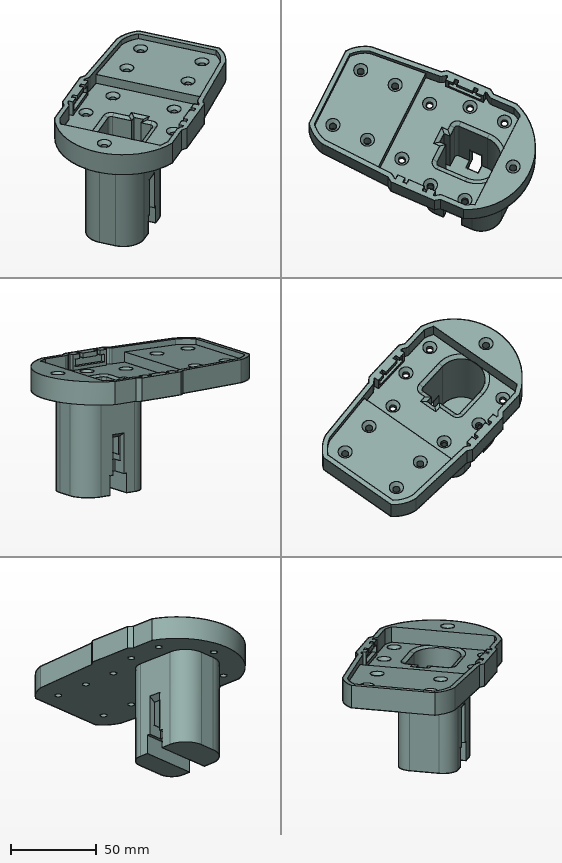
import cadquery as cq
import math


LENGTH = 130.0
PLATE_THICKNESS = 13.9
REAR_EDGE_HALF = 25.4
SHOULDER_HALF = 34.0
SHOULDER_Y = 117.6
BODY_HALF = 36.9
WING_HALF = 39.0
WING_RAMP = 2.9
WING_FRONT_Y = 42.9
WING_REAR_Y = 71.0
FRONT_ARC_Y = 25.0
REAR_ARC_BULGE = 0.9

WALL = 3.0
LOW_FLOOR_Z = 4.4
HIGH_FLOOR_Z = 10.5
FLOOR_STEP_Y = 82.2
FRONT_BLOCK_Y = 20.3

COLUMN_HEIGHT = 59.5
COLUMN_HALF = 18.0
COLUMN_FRONT_Y = 15.5
COLUMN_REAR_Y = 61.6
COLUMN_FRONT_RADIUS = 13.0
COLUMN_REAR_RADIUS = 9.1

BORE_HALF = 13.9
BORE_FRONT_Y = 19.5
BORE_REAR_Y = 53.7
BORE_REAR_RADIUS = 2.0
BORE_FLARE = 2.7
BORE_FLARE_DEPTH = 1.0
KEYWAY_LEFT = 0.1
KEYWAY_RIGHT = 6.0
KEYWAY_REAR_Y = 57.6

BASE_HEIGHT = 11.8
BORE_FLOOR_HEIGHT = 18.8
BASE_SLOT_WIDTH = 11.8
WINDOW_WIDTH = 7.9
WINDOW_Y = 41.0
WINDOW_TOP_HEIGHT = 36.3
WINDOW_TOP_DROP = 2.6
CORE_HALF = 8.8

HOLE_DIAMETER = 4.0
SINK_DIAMETER = 8.2
HOLE_PITCH_Y = 22.2
FIRST_ROW_Y = 28.6
FRONT_HOLE_Y = 10.3
NARROW_ROW_X = 19.2
WIDE_ROW_X = 27.4

CLIP_LENGTH = 24.3
CLIP_Y = 57.1
CLIP_THICKNESS = 2.7
CLIP_BORDER = 1.7
CLIP_SILL = 2.1
CLIP_TOP_BAR = 2.9
NOTCH_WIDTH = 2.3
NOTCH_SPACING = 12.5

COLUMN_BOTTOM_Z = -COLUMN_HEIGHT


def box(x_range, y_range, z_range):
    """Axis-aligned box between the given limits."""
    size = [high - low for low, high in (x_range, y_range, z_range)]
    corner = (x_range[0], y_range[0], z_range[0])
    return cq.Workplane("XY").box(*size, centered=False).translate(corner)


def plate_outline():
    """Closed outer outline of the plate."""
    bulge_x = (REAR_EDGE_HALF + SHOULDER_HALF) / 2 + REAR_ARC_BULGE
    bulge_y = (LENGTH + SHOULDER_Y) / 2 + REAR_ARC_BULGE
    right_side = [
        (BODY_HALF, WING_REAR_Y + WING_RAMP),
        (WING_HALF, WING_REAR_Y),
        (WING_HALF, WING_FRONT_Y),
        (BODY_HALF, WING_FRONT_Y - WING_RAMP),
        (BODY_HALF, FRONT_ARC_Y),
    ]
    outline = cq.Workplane("XY").moveTo(-REAR_EDGE_HALF, LENGTH).lineTo(REAR_EDGE_HALF, LENGTH)
    outline = outline.threePointArc((bulge_x, bulge_y), (SHOULDER_HALF, SHOULDER_Y))
    for point in right_side:
        outline = outline.lineTo(*point)
    outline = outline.threePointArc((0, 0), (-BODY_HALF, FRONT_ARC_Y))
    for x, y in reversed(right_side[:-1]):
        outline = outline.lineTo(-x, y)
    outline = outline.lineTo(-SHOULDER_HALF, SHOULDER_Y)
    return outline.threePointArc((-bulge_x, bulge_y), (-REAR_EDGE_HALF, LENGTH)).close()


def plate_with_pocket():
    """Plate with a two-level pocket, closed at the front by a solid block."""
    plate = plate_outline().extrude(PLATE_THICKNESS)
    inside = plate_outline().offset2D(-WALL, "arc").extrude(PLATE_THICKNESS)
    across = (-WING_HALF, WING_HALF)
    low_space = box(across, (FRONT_BLOCK_Y, FLOOR_STEP_Y), (LOW_FLOOR_Z, PLATE_THICKNESS))
    high_space = box(across, (FLOOR_STEP_Y, LENGTH), (HIGH_FLOOR_Z, PLATE_THICKNESS))
    return plate.cut(inside.intersect(low_space.union(high_space)))


def clip_frame():
    """Frame on the right wall: a window below, two notches open to the top."""
    wall_x = WING_HALF - WALL
    x_range = (wall_x - CLIP_THICKNESS, wall_x)
    y_range = (CLIP_Y - CLIP_LENGTH / 2, CLIP_Y + CLIP_LENGTH / 2)
    window_top_z = PLATE_THICKNESS - CLIP_TOP_BAR
    frame = box(x_range, y_range, (LOW_FLOOR_Z, PLATE_THICKNESS))
    window_y = (y_range[0] + CLIP_BORDER, y_range[1] - CLIP_BORDER)
    frame = frame.cut(box(x_range, window_y, (LOW_FLOOR_Z + CLIP_SILL, window_top_z)))
    for side in (-1, 1):
        notch_y = CLIP_Y + side * NOTCH_SPACING / 2
        notch_range = (notch_y - NOTCH_WIDTH / 2, notch_y + NOTCH_WIDTH / 2)
        frame = frame.cut(box(x_range, notch_range, (window_top_z, PLATE_THICKNESS)))
    return frame


def column():
    """Solid column with rounded vertical edges."""
    body = box(
        (-COLUMN_HALF, COLUMN_HALF),
        (COLUMN_FRONT_Y, COLUMN_REAR_Y),
        (COLUMN_BOTTOM_Z, 0),
    )
    body = body.edges("|Z and <Y").fillet(COLUMN_FRONT_RADIUS)
    return body.edges("|Z and >Y").fillet(COLUMN_REAR_RADIUS)


def bore_section(z, grow=0.0):
    """Bore and keyway outline at height z, moved outwards by grow."""
    half = BORE_HALF + grow
    front_center_y = BORE_FRONT_Y + BORE_HALF
    rear_y = BORE_REAR_Y + grow
    corner = BORE_REAR_RADIUS + grow
    corner_mid = corner * (1 - math.sqrt(0.5))
    keyway_left = KEYWAY_LEFT - grow
    keyway_right = KEYWAY_RIGHT + grow
    keyway_rear_y = KEYWAY_REAR_Y + grow
    return (
        cq.Workplane("XY", origin=(0, 0, z))
        .moveTo(-half, front_center_y)
        .threePointArc((0, front_center_y - half), (half, front_center_y))
        .lineTo(half, rear_y - corner)
        .threePointArc((half - corner_mid, rear_y - corner_mid), (half - corner, rear_y))
        .lineTo(keyway_right, rear_y)
        .lineTo(keyway_right, keyway_rear_y)
        .lineTo(keyway_left, keyway_rear_y)
        .lineTo(keyway_left, rear_y)
        .lineTo(corner - half, rear_y)
        .threePointArc((corner_mid - half, rear_y - corner_mid), (-half, rear_y - corner))
        .close()
    )


def bore():
    """Bore down to its floor, flared where it meets the low pocket floor."""
    floor_z = COLUMN_BOTTOM_Z + BORE_FLOOR_HEIGHT
    shaft = bore_section(floor_z).extrude(LOW_FLOOR_Z - floor_z)
    narrow = bore_section(LOW_FLOOR_Z - BORE_FLARE_DEPTH).val()
    wide = bore_section(LOW_FLOOR_Z, BORE_FLARE).val()
    flare = cq.Workplane(cq.Solid.makeLoft([narrow, wide], True))
    return shaft.union(flare)


def side_window():
    """Opening in the right column wall, running down past the bore floor."""
    window_top_z = COLUMN_BOTTOM_Z + WINDOW_TOP_HEIGHT
    base_z = COLUMN_BOTTOM_Z + BASE_HEIGHT
    floor_z = COLUMN_BOTTOM_Z + BORE_FLOOR_HEIGHT
    profile = [
        (CORE_HALF, base_z),
        (COLUMN_HALF, base_z),
        (COLUMN_HALF, window_top_z),
        (BORE_HALF, window_top_z - WINDOW_TOP_DROP),
        (BORE_HALF, floor_z),
        (CORE_HALF, floor_z),
    ]
    window = cq.Workplane("XZ").polyline(profile).close().extrude(WINDOW_WIDTH / 2, both=True)
    return window.translate((0, WINDOW_Y, 0))


def base_slot():
    """Slot across the lower end of the column."""
    return box(
        (-COLUMN_HALF, COLUMN_HALF),
        (WINDOW_Y - BASE_SLOT_WIDTH / 2, WINDOW_Y + BASE_SLOT_WIDTH / 2),
        (COLUMN_BOTTOM_Z, COLUMN_BOTTOM_Z + BASE_HEIGHT),
    )


def screw_hole(x, y, surface_z):
    """Through hole with a 90 degree countersink at surface_z."""
    radius = HOLE_DIAMETER / 2
    sink_radius = SINK_DIAMETER / 2
    profile = [
        (0, 0),
        (radius, 0),
        (radius, surface_z - (sink_radius - radius)),
        (sink_radius, surface_z),
        (0, surface_z),
    ]
    cutter = cq.Workplane("XZ").polyline(profile).close().revolve(360, (0, 0), (0, 1))
    return cutter.translate((x, y, 0))


def both_sides(shape):
    """The shape together with its mirror image across X = 0."""
    return shape.union(shape.mirror("YZ"))


result = plate_with_pocket().union(both_sides(clip_frame())).union(column())
result = result.cut(bore()).cut(both_sides(side_window())).cut(base_slot())

hole_rows = [
    (WIDE_ROW_X, LOW_FLOOR_Z),
    (WIDE_ROW_X, LOW_FLOOR_Z),
    (NARROW_ROW_X, LOW_FLOOR_Z),
    (NARROW_ROW_X, HIGH_FLOOR_Z),
    (NARROW_ROW_X, HIGH_FLOOR_Z),
]
for row, (row_x, surface_z) in enumerate(hole_rows):
    row_y = FIRST_ROW_Y + row * HOLE_PITCH_Y
    result = result.cut(both_sides(screw_hole(row_x, row_y, surface_z)))
result = result.cut(screw_hole(0, FRONT_HOLE_Y, PLATE_THICKNESS))